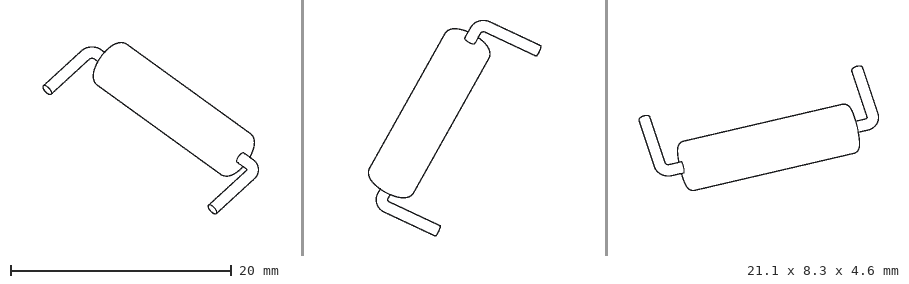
import cadquery as cq

overall_length = 21.05
body_length = 16.15
body_diameter = 4.6
body_edge_radius = 0.61
wire_diameter = 1.05
bend_radius = 0.8
leg_reach = 6.0

lead_x = (overall_length - wire_diameter) / 2
bend_start_x = lead_x - bend_radius


def make_body():
    """Cylinder along X with rounded end edges."""
    return (
        cq.Workplane("YZ", origin=(-body_length / 2, 0, 0))
        .circle(body_diameter / 2)
        .extrude(body_length)
        .edges("%CIRCLE")
        .fillet(body_edge_radius)
    )


def make_leads():
    """One wire through the body, both ends bent toward -Y."""
    left_end = (-lead_x, -leg_reach)
    path = (
        cq.Workplane("XY")
        .moveTo(*left_end)
        .lineTo(-lead_x, -bend_radius)
        .tangentArcPoint((-bend_start_x, 0), relative=False)
        .lineTo(bend_start_x, 0)
        .tangentArcPoint((lead_x, -bend_radius), relative=False)
        .lineTo(lead_x, -leg_reach)
    )
    end_plane = cq.Plane(origin=(*left_end, 0), xDir=(1, 0, 0), normal=(0, 1, 0))
    return cq.Workplane(end_plane).circle(wire_diameter / 2).sweep(path)


result = make_body().union(make_leads())